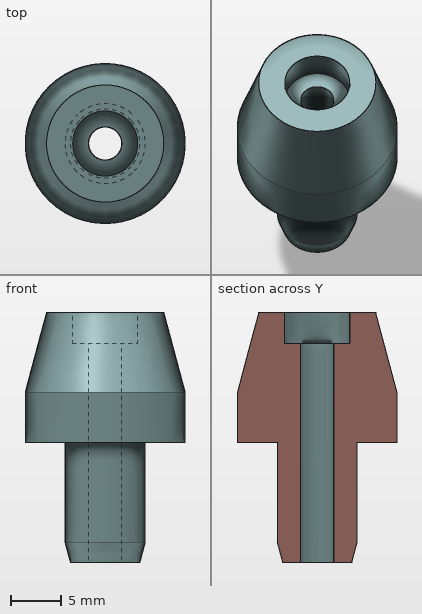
import cadquery as cq
import math

total_height = 25.0
shank_length = 12.0
collar_height = 5.0
head_radius = 8.0
shank_radius = 4.0

taper_angle = math.radians(15)
tip_height = 2.0
nose_height = total_height - shank_length - collar_height
nose_radius = head_radius - nose_height * math.tan(taper_angle)
tip_radius = shank_radius - tip_height * math.tan(taper_angle)

bore_diameter = 3.3
counterbore_diameter = 6.5
counterbore_depth = 3.1


def make_body():
    """Revolve the stepped, tapered half-profile around Z."""
    return (
        cq.Workplane("XZ")
        .lineTo(tip_radius, 0)
        .lineTo(shank_radius, tip_height)
        .lineTo(shank_radius, shank_length)
        .lineTo(head_radius, shank_length)
        .lineTo(head_radius, shank_length + collar_height)
        .lineTo(nose_radius, total_height)
        .lineTo(0, total_height)
        .close()
        .revolve(360, (0, 0, 0), (0, 1, 0))
    )


def cut_stepped_hole(body):
    """Cut the through bore and its counterbore from the top face."""
    return (
        body.faces(">Z")
        .workplane()
        .cboreHole(bore_diameter, counterbore_diameter, counterbore_depth)
    )


result = cut_stepped_hole(make_body())